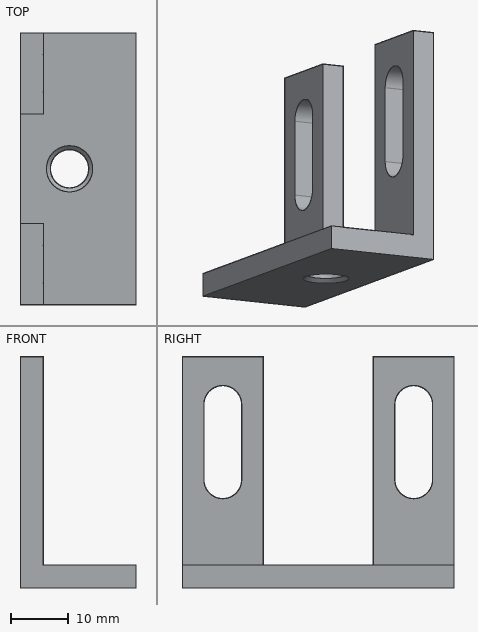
import cadquery as cq

length = 47.0
depth = 20.0
height = 40.0
thickness = 4.0

arm_width = 14.0

slot_width = 6.5
slot_length = 19.5
slot_top_margin = 5.05

hole_x = 8.5
hole_diameter = 6.6
countersink_diameter = 8.0
hole_chamfer = (countersink_diameter - hole_diameter) / 2


def base_plate():
    """Flat foot with its back edge at X = 0, centred on Y = 0."""
    plate = cq.Workplane("XY").box(depth, length, thickness, centered=(False, True, False))
    cutter = (
        cq.Workplane("XY")
        .center(hole_x, 0)
        .circle(hole_diameter / 2)
        .extrude(thickness)
    )
    for face_z, inward in ((0, 1), (thickness, -1)):
        cone = cq.Solid.makeCone(
            countersink_diameter / 2,
            hole_diameter / 2,
            hole_chamfer,
            pnt=cq.Vector(hole_x, 0, face_z),
            dir=cq.Vector(0, 0, inward),
        )
        cutter = cutter.union(cq.Workplane(cone))
    return plate.cut(cutter)


def slotted_arm(center_y):
    """Upright arm with a round-ended slot through its thickness."""
    arm = (
        cq.Workplane("XY")
        .center(0, center_y)
        .box(thickness, arm_width, height, centered=(False, True, False))
    )
    slot_center_z = height - slot_top_margin - slot_length / 2
    slot = (
        cq.Workplane("YZ")
        .center(center_y, slot_center_z)
        .slot2D(slot_length, slot_width, 90)
        .extrude(thickness)
    )
    return arm.cut(slot)


arm_offset = (length - arm_width) / 2
result = base_plate()
for side in (-1, 1):
    result = result.union(slotted_arm(side * arm_offset))